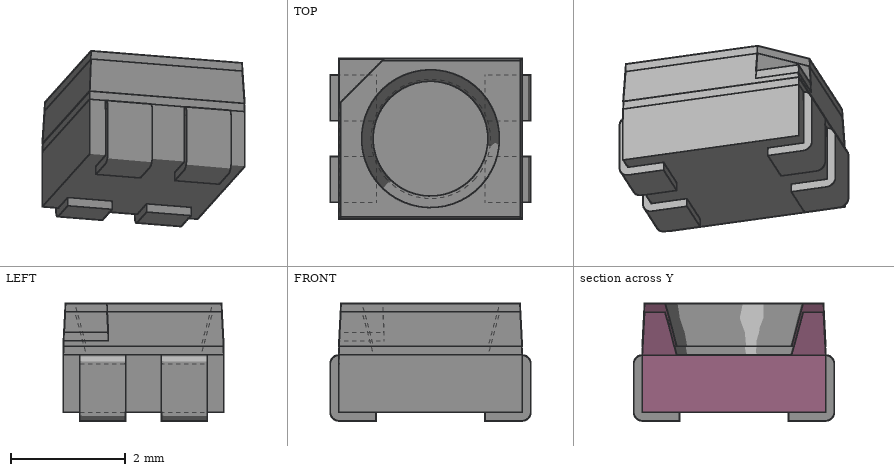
import cadquery as cq
import math

total_length = 3.5
body_width = 2.8

sheet = 0.15
lead_width = 0.8
lead_foot_length = 0.8
bend_inner_radius = 0.01
lead_pitch = 1.42

base_height = 1.0
cap_step = 0.15
reflector_height = 0.75
draft_angle = 3.0
bowl_top_diameter = 2.4
bowl_floor_diameter = 2.0
corner_cut = 0.8
corner_cut_depth = 0.5

body_length = total_length - 2 * sheet
base_top = sheet + base_height
bend_outer_radius = bend_inner_radius + sheet


def make_base(leads):
    """Block with rounded lower end edges, recessed where the upper bends of the leads enter it."""
    base = (
        cq.Workplane("XY", origin=(0, 0, sheet))
        .box(body_length, body_width, base_height, centered=(True, True, False))
        .edges("|Y and <Z")
        .fillet(bend_inner_radius)
    )
    for lead in leads:
        base = base.cut(lead)
    return base


def reflector_form(bottom):
    """Drafted block standing at the given level, with a conical bowl and one cut corner."""
    top = bottom + reflector_height
    block = (
        cq.Workplane("XY", origin=(0, 0, bottom))
        .rect(body_length, body_width)
        .extrude(reflector_height, taper=draft_angle)
    )
    bowl = cq.Workplane(
        cq.Solid.makeCone(
            bowl_floor_diameter / 2,
            bowl_top_diameter / 2,
            reflector_height,
            pnt=cq.Vector(0, 0, bottom),
        )
    )
    corner_x = -body_length / 2
    corner_y = body_width / 2
    corner = (
        cq.Workplane("XY", origin=(0, 0, top - corner_cut_depth))
        .polyline([
            (corner_x, corner_y),
            (corner_x + corner_cut, corner_y),
            (corner_x, corner_y - corner_cut),
        ])
        .close()
        .extrude(corner_cut_depth)
    )
    return block.cut(bowl).cut(corner)


def make_reflector():
    return reflector_form(base_top)


def make_cap():
    """Same form one step higher, hollowed to fit closely over the reflector."""
    return reflector_form(base_top + cap_step).cut(make_reflector())


def make_lead(side, y_centre):
    """Bent strip at -X (side = -1) or +X (side = 1): upper bend, upright and foot under the base."""
    outer = side * total_length / 2
    bend_x = outer - side * bend_outer_radius
    foot_length = lead_foot_length - bend_outer_radius
    centreline_radius = bend_inner_radius + sheet / 2
    upright_x = bend_x + side * centreline_radius
    upper_bend_z = base_top - bend_outer_radius
    lower_bend_z = bend_outer_radius
    half_arc = centreline_radius * math.sqrt(0.5)
    centreline = (
        cq.Workplane("XZ", origin=(0, y_centre, 0))
        .moveTo(bend_x, base_top - sheet / 2)
        .threePointArc(
            (bend_x + side * half_arc, upper_bend_z + half_arc),
            (upright_x, upper_bend_z),
        )
        .lineTo(upright_x, lower_bend_z)
        .threePointArc(
            (bend_x + side * half_arc, lower_bend_z - half_arc),
            (bend_x, sheet / 2),
        )
        .lineTo(bend_x - side * foot_length, sheet / 2)
    )
    section = cq.Workplane("YZ", origin=(bend_x, y_centre, base_top - sheet / 2))
    return section.rect(lead_width, sheet).sweep(centreline)


leads = [
    make_lead(side, row * lead_pitch / 2)
    for side in (-1, 1)
    for row in (-1, 1)
]
base = make_base(leads)
reflector = make_reflector()
cap = make_cap()

result = cq.Compound.makeCompound([
    base.val(),
    reflector.val(),
    cap.val(),
    *[lead.val() for lead in leads],
])